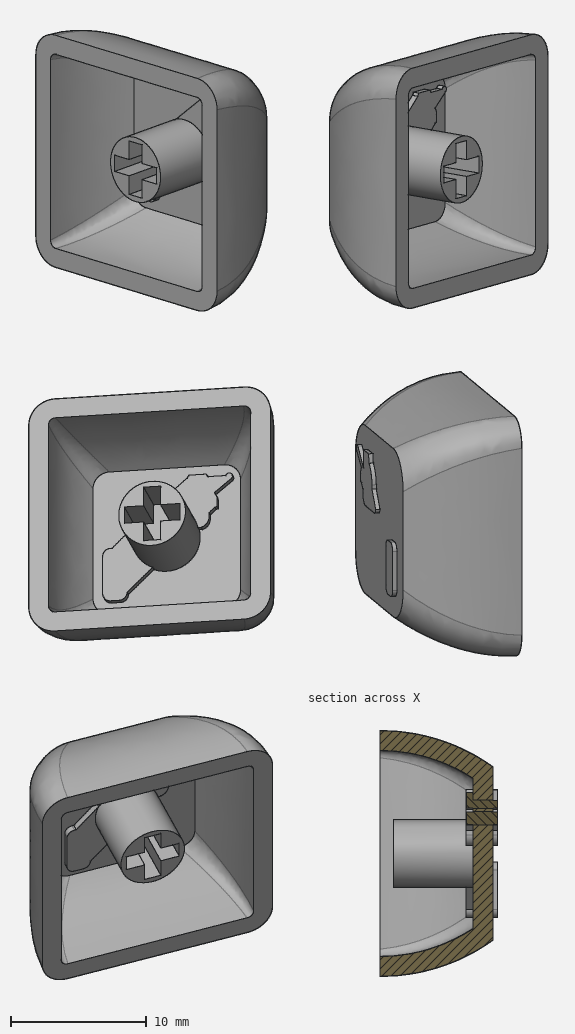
import cadquery as cq
import math


RIM_WIDTH = 18.1
TOP_WIDTH = 12.75
RIM_CORNER_RADIUS = 1.97
TOP_CORNER_RADIUS = 2.65
CAP_HEIGHT = 8.33
WALL = 1.48

CAVITY_DEPTH = CAP_HEIGHT - WALL
CAVITY_RIM_WIDTH = RIM_WIDTH - 2 * WALL
CAVITY_FLOOR_WIDTH = 11.05
CAVITY_RIM_RADIUS = 0.52
CAVITY_FLOOR_RADIUS = 1.21

STEM_DIAMETER = 5.0
STEM_RECESS = 1.0
CROSS_LENGTH = 4.16
CROSS_WIDTH = 1.27
CROSS_DEPTH = 3.98

PLATE_THICKNESS = 0.5
PAD_HEIGHT = 0.33
PAD_LENGTH = WALL + PAD_HEIGHT
LEGEND_LEFT = -4.7
LEGEND_TOP = 4.7
LEGEND_BOTTOM = -4.7
LEFT_PAD_RIGHT = -2.88
LEFT_PAD_TOP = -0.62
LEFT_PAD_RADIUS = 0.58
HEAD_BOTTOM = 0.58
HEAD_RIGHT = 3.85
HEAD_TOP_LEFT = (1.74, LEGEND_TOP)
HEAD_SHOULDER_X = 1.61
HEAD_NECK_X = 3.25
NOTCH_X = 3.1
TIP_CENTER = (4.76, 4.43)
TIP_RADIUS = 0.25
TIP_SLOPE = math.radians(41)
TIP_BACK_ANGLE = math.radians(165)

LOFT_SECTIONS = 6


def plane_at(y):
    """XZ sketch plane at height y, extruding toward +Y; local y points to -Z."""
    return cq.Plane(origin=(0, y, 0), xDir=(1, 0, 0), normal=(0, 1, 0))


def upright_plane_at(y):
    """XZ sketch plane at height y, extruding toward -Y; local y points to +Z."""
    return cq.Plane(origin=(0, y, 0), xDir=(1, 0, 0), normal=(0, -1, 0))


def bowed_block(start_width, end_width, start_radius, end_radius, height):
    """Rounded square that narrows along a circular arc square to the rim at Y = 0."""
    inset = (start_width - end_width) / 2
    bow_radius = (inset**2 + height**2) / (2 * inset)
    sections = []
    for index in range(LOFT_SECTIONS):
        fraction = index / (LOFT_SECTIONS - 1)
        y = fraction * height
        narrowing = bow_radius - math.sqrt(bow_radius**2 - y**2)
        radius = start_radius + fraction * (end_radius - start_radius)
        sketch = cq.Sketch().rect(start_width - 2 * narrowing, start_width - 2 * narrowing)
        sketch = sketch.vertices().fillet(radius)
        sections.append(sketch.moved(cq.Location(plane_at(y))))
    return cq.Workplane().placeSketch(*sections).loft(ruled=False)


def tip_point(angle):
    """Point on the round tip, with the angle measured from +X toward +Z."""
    return (
        TIP_CENTER[0] + TIP_RADIUS * math.cos(angle),
        TIP_CENTER[1] + TIP_RADIUS * math.sin(angle),
    )


TIP_UNDERSIDE = tip_point(TIP_SLOPE - math.pi / 2)
TIP_END = tip_point(TIP_SLOPE)
TIP_UPPER_SIDE = tip_point(TIP_SLOPE + math.pi / 2)
TIP_BACK = tip_point(TIP_BACK_ANGLE)


def head_underside(sketch):
    """Right side of the legend head, from its lowest edge up to the round tip."""
    return (
        sketch.lineTo(2.66, HEAD_BOTTOM)
        .threePointArc((3.08, 0.85), (HEAD_NECK_X, 1.38))
        .lineTo(HEAD_NECK_X, 1.68)
        .lineTo(3.7, 2.08)
        .lineTo(HEAD_RIGHT, 2.14)
        .lineTo(HEAD_RIGHT, 2.72)
        .threePointArc((3.8, 3.0), (3.65, 3.22))
        .lineTo(*TIP_UNDERSIDE)
    )


def legend_plate():
    """Diagonal plate lying against the cavity ceiling."""
    r = LEFT_PAD_RADIUS
    sketch = cq.Workplane(upright_plane_at(CAVITY_DEPTH)).moveTo(LEGEND_LEFT, LEGEND_BOTTOM + r)
    sketch = (
        sketch.radiusArc((LEGEND_LEFT + r, LEGEND_BOTTOM), -r)
        .lineTo(LEFT_PAD_RIGHT - r, LEGEND_BOTTOM)
        .radiusArc((LEFT_PAD_RIGHT, LEGEND_BOTTOM + r), -r)
        .lineTo(2.06, HEAD_BOTTOM)
    )
    sketch = head_underside(sketch)
    return (
        sketch.threePointArc(TIP_END, TIP_BACK)
        .lineTo(3.2, TIP_BACK[1])
        .lineTo(3.04, LEGEND_TOP)
        .lineTo(*HEAD_TOP_LEFT)
        .lineTo(HEAD_SHOULDER_X, 4.49)
        .lineTo(-1.97, 1.38)
        .lineTo(-4.0, LEFT_PAD_TOP)
        .lineTo(LEGEND_LEFT + r, LEFT_PAD_TOP)
        .radiusArc((LEGEND_LEFT, LEFT_PAD_TOP - r), -r)
        .close()
        .extrude(PLATE_THICKNESS)
    )


def left_pad():
    """Rounded rectangular pad at the lower left end of the plate."""
    width = LEFT_PAD_RIGHT - LEGEND_LEFT
    height = LEFT_PAD_TOP - LEGEND_BOTTOM
    return (
        cq.Workplane(upright_plane_at(CAVITY_DEPTH))
        .center(LEGEND_LEFT + width / 2, LEGEND_BOTTOM + height / 2)
        .rect(width, height)
        .extrude(-PAD_LENGTH)
        .edges("|Y")
        .fillet(LEFT_PAD_RADIUS)
    )


def right_pad():
    """Raised head with a narrow arm that ends in the round tip."""
    sketch = cq.Workplane(upright_plane_at(CAVITY_DEPTH)).moveTo(0.18, HEAD_BOTTOM)
    notch_z = TIP_UPPER_SIDE[1] - (TIP_UPPER_SIDE[0] - NOTCH_X) * math.tan(TIP_SLOPE)
    return (
        head_underside(sketch)
        .threePointArc(TIP_END, TIP_UPPER_SIDE)
        .lineTo(NOTCH_X, notch_z)
        .lineTo(NOTCH_X, LEGEND_TOP)
        .lineTo(*HEAD_TOP_LEFT)
        .lineTo(HEAD_SHOULDER_X, 4.02)
        .threePointArc((1.07, 3.42), (0.81, 2.57))
        .lineTo(0.81, 2.25)
        .lineTo(-0.16, 0.95)
        .threePointArc((-0.05, 0.69), (0.18, HEAD_BOTTOM))
        .close()
        .extrude(-PAD_LENGTH)
    )


def make_legend():
    """Plate and both pads as one body."""
    return legend_plate().union(left_pad()).union(right_pad())


def stem():
    """Round post from the cavity ceiling with a cross-shaped blind socket in its end."""
    length = CAVITY_DEPTH - STEM_RECESS
    post = cq.Workplane(plane_at(STEM_RECESS)).circle(STEM_DIAMETER / 2).extrude(length)
    for width, height in ((CROSS_LENGTH, CROSS_WIDTH), (CROSS_WIDTH, CROSS_LENGTH)):
        slot = cq.Workplane(plane_at(STEM_RECESS)).rect(width, height).extrude(CROSS_DEPTH)
        post = post.cut(slot)
    return post


def make_cap(legend):
    """Hollow cap with its stem, and a matching seat for the legend."""
    outside = bowed_block(RIM_WIDTH, TOP_WIDTH, RIM_CORNER_RADIUS, TOP_CORNER_RADIUS, CAP_HEIGHT)
    cavity = bowed_block(
        CAVITY_RIM_WIDTH, CAVITY_FLOOR_WIDTH, CAVITY_RIM_RADIUS, CAVITY_FLOOR_RADIUS, CAVITY_DEPTH
    )
    return outside.cut(cavity).union(stem()).cut(legend)


legend = make_legend()
cap = make_cap(legend)

result = cq.Compound.makeCompound([cap.solids().val(), legend.solids().val()])